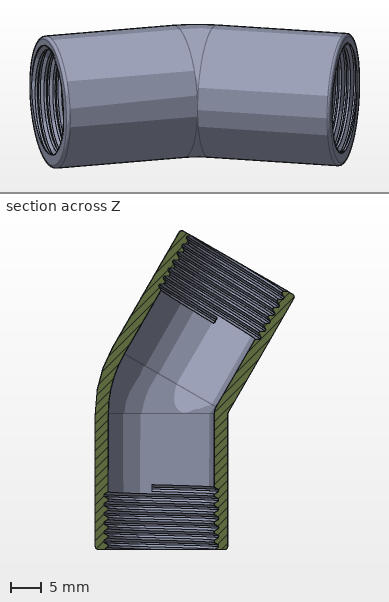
import cadquery as cq
import math

OUTER_RADIUS = 10.8
LEG_LENGTH = 22.1
BEND_ANGLE = 30.0
RIM_FILLET = 0.5

BORE_RADIUS = 8.6
ROOT_RADIUS = 9.3
PITCH = 1.5
THREAD_LENGTH = 10.0
FLANK_ANGLE = 30.0
ROOT_WIDTH = 0.3
START_ANGLE = 140.0

CUTTER_LEAD_IN = PITCH
CUTTER_OVERLAP = 0.2

PIVOT_CLEARANCE = 0.02
PIVOT_X = OUTER_RADIUS + PIVOT_CLEARANCE


def straight_bar(radius):
    """Round bar along -Y, from the bend (y = 0) to the end face."""
    return cq.Workplane("XZ").circle(radius).extrude(LEG_LENGTH)


def bend_bar(radius):
    """Round bar turned through the bend angle, towards +X."""
    return (
        cq.Workplane("XZ")
        .circle(radius)
        .revolve(BEND_ANGLE, (PIVOT_X, 0, 0), (PIVOT_X, -1, 0))
    )


def thread_groove():
    """Right-hand helical cutter, trapezoidal, along the leg's axis."""
    inner_radius = BORE_RADIUS - CUTTER_OVERLAP
    root_half = ROOT_WIDTH / 2
    inner_half = root_half + (ROOT_RADIUS - inner_radius) * math.tan(math.radians(FLANK_ANGLE))
    helix_length = CUTTER_LEAD_IN + THREAD_LENGTH
    helix = cq.Workplane(obj=cq.Wire.makeHelix(PITCH, helix_length, inner_radius))
    groove = (
        cq.Workplane("XZ")
        .polyline([
            (inner_radius, -inner_half),
            (ROOT_RADIUS, -root_half),
            (ROOT_RADIUS, root_half),
            (inner_radius, inner_half),
        ])
        .close()
        .sweep(helix, isFrenet=True)
    )
    return (
        groove.rotate((0, 0, 0), (0, 0, 1), -START_ANGLE)
        .rotate((0, 0, 0), (1, 0, 0), -90)
        .translate((0, -LEG_LENGTH - CUTTER_LEAD_IN, 0))
    )


def threaded_leg():
    """Hollow leg with a rounded outer rim and an internal thread."""
    leg = straight_bar(OUTER_RADIUS).faces("<Y").edges().fillet(RIM_FILLET)
    return leg.cut(straight_bar(BORE_RADIUS)).cut(thread_groove())


def move_to_far_end(leg):
    """Reverse a leg in plan and carry it round the bend."""
    reversed_leg = leg.rotate((0, 0, 0), (0, 0, 1), 180)
    return reversed_leg.rotate((PIVOT_X, 0, 0), (PIVOT_X, 0, 1), -BEND_ANGLE)


near_leg = threaded_leg()
bend = bend_bar(OUTER_RADIUS).cut(bend_bar(BORE_RADIUS))
result = near_leg.union(bend).union(move_to_far_end(near_leg))